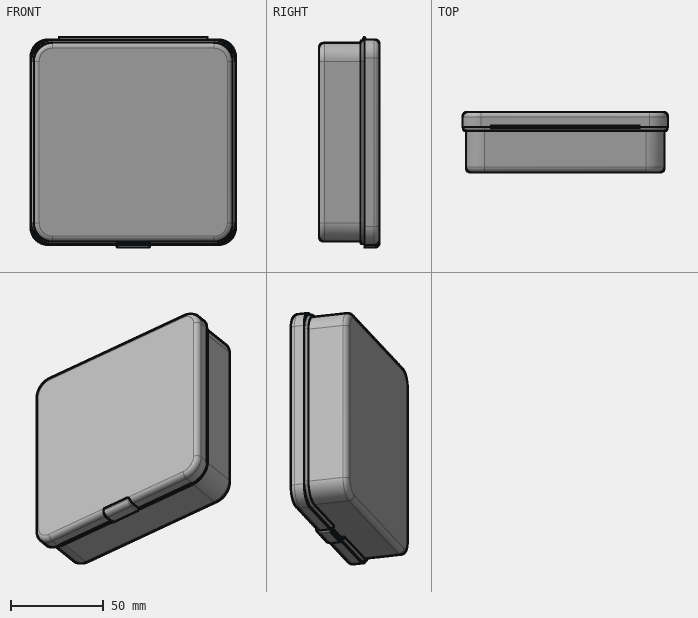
import cadquery as cq


overall_depth = 32.9
overall_height = 113.7
lid_side = 111.0
box_side = 107.3

lid_back = overall_depth / 2
box_front = -overall_depth / 2
lid_depth = 8.3
parting = lid_back - lid_depth

corner_radius = 10.0
edge_radius = 3.0

rim_overhang = 1.4
rim_depth = 2.0
rim_edge_radius = 1.1
rim_side = box_side + 2 * rim_overhang

hinge_length = 80.2
hinge_half_base = 0.8
hinge_top = overall_height / 2

catch_width = 18.0
catch_drop = (overall_height - lid_side) / 2
catch_corner = 0.9

tooth_width = 15.9
tooth_height = 0.9
tooth_gap_width = 8.6
tooth_gap_depth = 0.3


def rounded_slab(side, radius, y_start, depth):
    """Square slab in XZ with rounded corners, from y_start towards +Y."""
    slab = cq.Workplane("XY").box(side, depth, side).edges("|Y").fillet(radius)
    return slab.translate((0, y_start + depth / 2, 0))


def bar_along_x(profile, length):
    """Extrude a closed profile of (y, z) points, centred on X = 0."""
    return cq.Workplane("YZ").polyline(profile).close().extrude(length / 2, both=True)


def hinge_half(y_base):
    """Half of the hinge ridge, sloping from its crest down to y_base."""
    foot = box_side / 2
    shoulder = lid_side / 2
    profile = [(parting, foot), (parting, hinge_top), (y_base, shoulder), (y_base, foot)]
    return bar_along_x(profile, hinge_length)


def lid_shell():
    """Lid block without hinge or tooth, its outer face edge rounded."""
    block = rounded_slab(lid_side, corner_radius, parting, lid_depth)
    return block.faces(">Y").edges().fillet(edge_radius)


def latch_tooth():
    """Sloped tooth below the box wall, with a lowered middle stretch."""
    top = -box_side / 2
    bottom = top - tooth_height
    tip = parting - tooth_height
    tooth = bar_along_x([(parting, top), (tip, bottom), (parting, bottom)], tooth_width)
    gap = cq.Workplane("XY").box(tooth_gap_width, 2 * tooth_height, 2 * tooth_gap_depth)
    return tooth.cut(gap.translate((0, parting, top)))


def make_lid():
    return lid_shell().union(hinge_half(parting + hinge_half_base)).union(latch_tooth())


def make_box():
    block = rounded_slab(box_side, corner_radius, box_front, parting - box_front)
    block = block.faces("<Y").edges().fillet(edge_radius)
    rim = rounded_slab(rim_side, corner_radius + rim_overhang, parting - rim_depth, rim_depth)
    rim = rim.faces("<Y").edges().fillet(rim_edge_radius)
    notch = cq.Workplane("XY").box(catch_width, rim_depth, rim_overhang)
    notch = notch.translate((0, parting - rim_depth / 2, -(box_side + rim_overhang) / 2))
    return block.union(rim.cut(notch)).union(hinge_half(parting - hinge_half_base))


def make_catch():
    """Lip under the lid that follows the lid's rounded edge, one drop lower."""
    lip_height = corner_radius
    lip = cq.Workplane("XY").box(catch_width, lid_depth, lip_height)
    lip = lip.translate((0, parting + lid_depth / 2, (lip_height - overall_height) / 2))
    lip = lip.intersect(lid_shell().translate((0, 0, -catch_drop)))
    lip = lip.faces("<Z").edges("|Y").fillet(catch_corner)
    return lip.cut(lid_shell())


lid = make_lid()
box = make_box()
catch = make_catch()

result = cq.Compound.makeCompound([body.solids().val() for body in (lid, box, catch)])